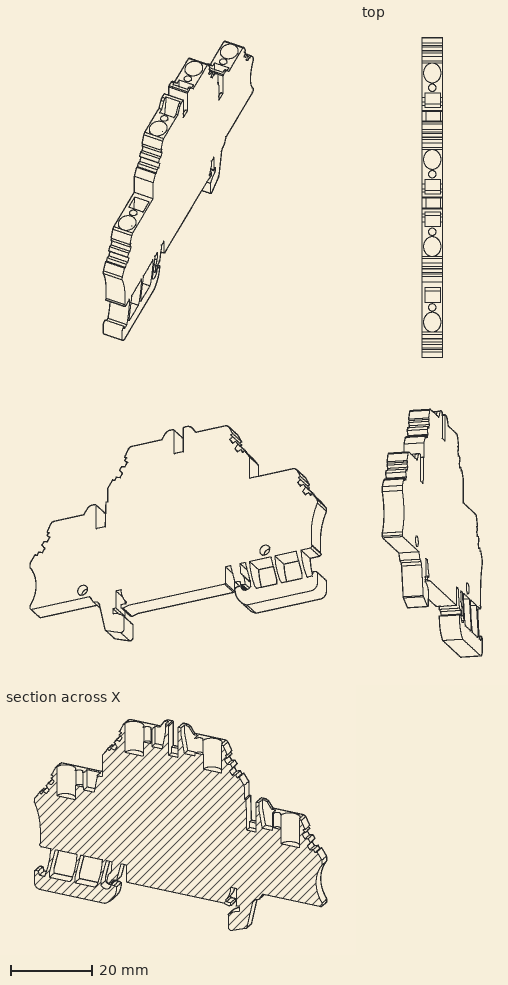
import cadquery as cq
import math


thickness = 5.1
half_length = 39.5
total_height = 53.0
underside_z = 11.85
rail_face_z = 7.1

hump_height = 2.1
tier_rise = 16.0
edge_run = 6.3
upper_platform_z = total_height - hump_height
lower_platform_z = upper_platform_z - tier_rise
lower_platform_end = half_length - edge_run
upper_center_y = -1.35
upper_half_length = 13.2

edge_steps = [
    (0, 0), (0.55, 0.4), (1.65, 2.6),
    (1.1, 2.85), (1.65, 3.5),
    (0.9, 4.1), (1.6, 5.2), (2.45, 5.0), (3.1, 5.85),
    (2.3, 6.95), (2.9, 7.9), (3.95, 7.6),
    (4.35, 8.4), (4.9, 8.1),
    (6.25, 10.05), (edge_run, 10.5),
]

grip_depth = 1.65
plus_grip_z = 18.3
plus_grip_radius = 9.2
minus_grip_z = 16.2
minus_grip_radius = 18.6
bead_start_z = 12.8
bead_peak_z = 12.3
bead_height = 0.2
corner_chamfer = 0.3

slot_width = 2.45
slot_depth = 6.7
slot_offset_from_end = 13.1
lower_slot_y = lower_platform_end - slot_offset_from_end
lower_slot_widening = 0.2
hump_base = 4.7
hump_shoulder = 3.5
hump_top = 2.7
hump_shoulder_drop = 0.4
hump_corner = 0.2
slot_recess_width = 3.5
slot_recess_x = 0.2
slot_recess_depth = 1.6

wire_hole_width = 4.3
wire_hole_length = 4.9
wire_hole_depth = 7.9
test_hole_diameter = 1.8
test_hole_inset = 6.1
test_hole_depth = 3.95
pocket_start = 7.35
pocket_end = 11.0
pocket_width = 3.9
pocket_x = 0.15
pocket_depth = 4.75
pocket_taper = 0.9

pin_hole_y = 25.1
pin_hole_z = 14.1
pin_hole_diameter = 2.7
pin_hole_depth = 2.4

window_pitch = 6.95
window_count = 2
window_floor_z = 4.0
foot_corner_radius = 1.7
foot_lip_radius = 0.6
foot_lip_z = 5.1


def profile():
    return cq.Workplane("YZ")


def plate(outline):
    """Extrude a closed YZ outline over the full thickness."""
    return outline.close().extrude(thickness).translate((-thickness / 2, 0, 0))


def plate_box(y_low, y_high, z_low, z_high):
    return plate(profile().polyline([(y_low, z_low), (y_high, z_low), (y_high, z_high), (y_low, z_high)]))


def stepped_edge(end_y, top_z, side):
    """Grooved edge points from a platform end, going out toward side (+1 or -1)."""
    return [(end_y + side * out, top_z - down) for out, down in edge_steps]


def tier(center_y, platform_half, top_z, bottom_z):
    """Symmetric slab whose two ends carry the grooved edge."""
    plus_edge = stepped_edge(center_y + platform_half, top_z, 1)
    minus_edge = stepped_edge(center_y - platform_half, top_z, -1)
    wall = platform_half + edge_run
    bottom = [
        (center_y + wall, bottom_z + corner_chamfer),
        (center_y + wall - corner_chamfer, bottom_z),
        (center_y - wall + corner_chamfer, bottom_z),
        (center_y - wall, bottom_z + corner_chamfer),
    ]
    return plate(profile().polyline(plus_edge + bottom + minus_edge[::-1]))


def hump(slot_y, platform_z, side):
    """Raised guide on one side of a jumper slot."""
    top_z = platform_z + hump_height
    wall = slot_width / 2
    offsets = [
        (hump_base, platform_z),
        (hump_shoulder, top_z - hump_shoulder_drop),
        (hump_top, top_z),
        (wall + hump_corner, top_z),
        (wall, top_z - hump_corner),
        (wall, platform_z),
    ]
    return plate(profile().polyline([(slot_y + side * out, z) for out, z in offsets]))


def slot(slot_y, platform_z):
    """Jumper slot across the plate, with a narrower recess in its floor."""
    top_z = platform_z + hump_height
    floor_z = top_z - slot_depth
    gap = plate_box(slot_y - slot_width / 2, slot_y + slot_width / 2, floor_z, top_z)
    recess = cq.Workplane("XY").box(slot_recess_width, slot_width, slot_recess_depth)
    return gap.union(recess.translate((slot_recess_x, slot_y, floor_z - slot_recess_depth / 2)))


def lower_slot_flare():
    """Slight widening of the lower slot toward the upper tier."""
    wall = lower_slot_y - slot_width / 2
    top_z = lower_platform_z + hump_height
    floor_z = top_z - slot_depth
    return plate(profile().polyline([(wall, floor_z), (wall, top_z), (wall - lower_slot_widening, top_z)]))


def slot_side_ledge():
    """Part of the lower tier that rises to hump height against the upper tier wall."""
    wall = lower_slot_y - slot_width / 2
    return plate_box(upper_center_y, wall, lower_platform_z, lower_platform_z + hump_height)


def plus_grip():
    """Concave finger grip hollowed into the middle of the +Y end."""
    center_y = half_length - grip_depth + plus_grip_radius
    return (
        cq.Workplane("YZ", origin=(-thickness / 2, center_y, plus_grip_z))
        .circle(plus_grip_radius)
        .extrude(thickness)
    )


def minus_grip():
    """Concave -Y grip that runs straight down to a small bead at the underside."""
    wall = -half_length + grip_depth
    tip_rise = math.sqrt(minus_grip_radius**2 - (minus_grip_radius - grip_depth) ** 2)
    arc_angle = math.asin(tip_rise / minus_grip_radius) / 2
    arc_middle = (
        wall - minus_grip_radius * (1 - math.cos(arc_angle)),
        minus_grip_z + minus_grip_radius * math.sin(arc_angle),
    )
    return plate(
        profile()
        .moveTo(-half_length, minus_grip_z + tip_rise)
        .threePointArc(arc_middle, (wall, minus_grip_z))
        .lineTo(wall, bead_start_z)
        .lineTo(wall - bead_height, bead_peak_z)
        .lineTo(wall + bead_height, underside_z)
        .lineTo(-half_length, underside_z)
    )


def terminal_openings(end_y, platform_z, side):
    """Wire hole, test hole and tapered tool pocket, placed inward from a platform end."""
    wire_hole = (
        cq.Workplane("XY", origin=(0, end_y - side * wire_hole_length / 2, platform_z))
        .ellipse(wire_hole_width / 2, wire_hole_length / 2)
        .extrude(-wire_hole_depth)
    )
    test_hole = (
        cq.Workplane("XY", origin=(0, end_y - side * test_hole_inset, platform_z))
        .circle(test_hole_diameter / 2)
        .extrude(-test_hole_depth)
    )
    floor_z = platform_z - pocket_depth
    pocket_outline = [
        (pocket_start, platform_z + hump_height),
        (pocket_end, platform_z + hump_height),
        (pocket_end, platform_z),
        (pocket_end - pocket_taper, floor_z),
        (pocket_start, floor_z),
    ]
    pocket = (
        profile()
        .polyline([(end_y - side * inset, z) for inset, z in pocket_outline])
        .close()
        .extrude(pocket_width / 2, both=True)
        .translate((pocket_x, 0, 0))
    )
    return wire_hole.union(test_hole).union(pocket)


def pin_hole(y):
    return (
        cq.Workplane("YZ", origin=(-thickness / 2, y, pin_hole_z))
        .circle(pin_hole_diameter / 2)
        .extrude(pin_hole_depth)
    )


def latch_foot():
    """Rigid hook under the +Y side of the rail."""
    return plate(
        profile()
        .moveTo(23.2, underside_z)
        .lineTo(22.1, 10.2)
        .lineTo(20.95, 9.9)
        .lineTo(20.5, 9.2)
        .lineTo(18.9, 1.7)
        .lineTo(18.65, 1.5)
        .lineTo(14.55, 0)
        .threePointArc((14.0, 0.15), (13.7, 0.7))
        .lineTo(13.7, 4.35)
        .threePointArc((14.7, 5.1), (16.7, 5.8))
        .lineTo(16.7, rail_face_z)
        .lineTo(15.9, rail_face_z)
        .lineTo(15.9, underside_z)
    )


def rail_block():
    """Solid block resting on the rail, with a small lip at its +Y corner."""
    return plate(
        profile()
        .moveTo(14.5, underside_z)
        .threePointArc((14.0, 9.65), (13.05, 8.15))
        .lineTo(13.3, 7.75)
        .lineTo(14.5, 7.75)
        .lineTo(14.5, 6.9)
        .lineTo(13.9, 6.65)
        .lineTo(12.4, rail_face_z)
        .lineTo(-14.0, rail_face_z)
        .lineTo(-14.2, 7.35)
        .lineTo(-14.2, underside_z)
    )


def spring_hook():
    """Short hook between the rail block and the release foot."""
    return plate(
        profile()
        .moveTo(-15.65, underside_z)
        .lineTo(-16.85, rail_face_z)
        .lineTo(-18.3, 6.9)
        .lineTo(-18.4, 6.0)
        .lineTo(-18.9, 5.85)
        .lineTo(-19.7, 5.85)
        .lineTo(-19.45, 7.4)
        .lineTo(-19.2, 8.15)
        .lineTo(-18.4, 9.2)
        .lineTo(-18.3, underside_z)
    )


def release_foot():
    """Foot bar hung from the body on slanted struts, with open windows between them."""
    corner_gap = 1 - math.sqrt(0.5)
    foot = plate(
        profile()
        .moveTo(-19.7, underside_z)
        .lineTo(-21.1, 6.2)
        .lineTo(-21.2, 5.0)
        .threePointArc((-19.9, 4.2), (-18.65, 5.0))
        .lineTo(-18.4, 5.6)
        .lineTo(-17.55, 5.6)
        .lineTo(-16.85, 5.4)
        .threePointArc((-17.8, 2.0), (-20.15, 0))
        .lineTo(-half_length + foot_corner_radius, 0)
        .threePointArc(
            (-half_length + foot_corner_radius * corner_gap, foot_corner_radius * corner_gap),
            (-half_length, foot_corner_radius),
        )
        .lineTo(-half_length, foot_lip_z - foot_lip_radius)
        .threePointArc(
            (-half_length + foot_lip_radius * corner_gap, foot_lip_z - foot_lip_radius * corner_gap),
            (-half_length + foot_lip_radius, foot_lip_z),
        )
        .lineTo(-38.35, foot_lip_z)
        .lineTo(-38.0, window_floor_z)
        .lineTo(-36.7, window_floor_z)
        .threePointArc((-35.4, 8.5), (-35.0, underside_z))
    )
    window = plate(
        profile()
        .moveTo(-20.9, underside_z)
        .lineTo(-26.7, underside_z)
        .lineTo(-28.3, 5.3)
        .lineTo(-28.3, window_floor_z)
        .lineTo(-22.8, window_floor_z)
        .lineTo(-22.3, 4.75)
        .threePointArc((-21.3, 8.5), (-20.9, underside_z))
    )
    for index in range(window_count):
        foot = foot.cut(window.translate((0, -index * window_pitch, 0)))
    return foot


body = tier(0, lower_platform_end, lower_platform_z, underside_z)
body = body.union(tier(upper_center_y, upper_half_length, upper_platform_z, underside_z))
body = body.union(slot_side_ledge())
for slot_y, platform_z, side in [
    (upper_center_y, upper_platform_z, 1),
    (upper_center_y, upper_platform_z, -1),
    (lower_slot_y, lower_platform_z, 1),
]:
    body = body.union(hump(slot_y, platform_z, side))
body = body.cut(plus_grip()).cut(minus_grip())
for foot in (latch_foot(), rail_block(), spring_hook(), release_foot()):
    body = body.union(foot)

body = body.cut(slot(upper_center_y, upper_platform_z))
body = body.cut(slot(lower_slot_y, lower_platform_z)).cut(lower_slot_flare())
for side in (1, -1):
    body = body.cut(terminal_openings(side * lower_platform_end, lower_platform_z, side))
    upper_end = upper_center_y + side * upper_half_length
    body = body.cut(terminal_openings(upper_end, upper_platform_z, side))
    body = body.cut(pin_hole(side * pin_hole_y))

result = body